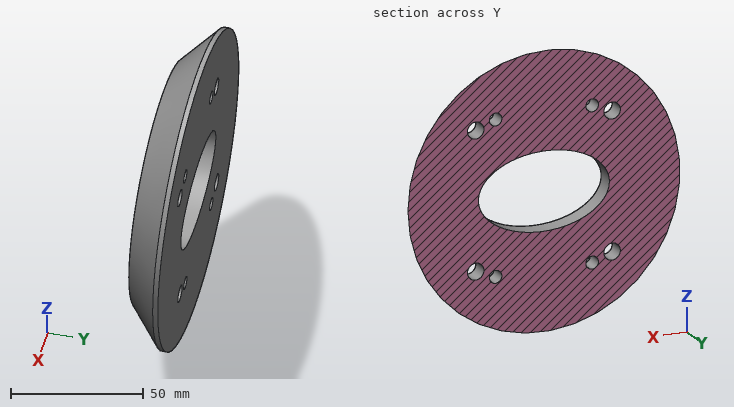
import cadquery as cq

outer_radius = 62.5
face_radius = 48.0
thickness = 15.0
rim_thickness = 2.0

opening_half_width = 27.0
opening_half_height = 16.0

large_hole_diameter = 6.6
large_hole_offset = 28.2
small_hole_diameter = 5.0
small_hole_x = 20.0
small_hole_z = 31.5


def make_disc():
    """Revolve the half section of the rim and its conical flank about the Y axis."""
    section = [
        (0, 0),
        (face_radius, 0),
        (outer_radius, thickness - rim_thickness),
        (outer_radius, thickness),
        (0, thickness),
    ]
    return cq.Workplane("XY").polyline(section).close().revolve(360, (0, 0), (0, 1))


def face_plane():
    """Plane of the small face; its normal points to -Y, its local axes are X and Z."""
    return cq.Workplane("XZ")


def make_holes(x, z, diameter):
    """Four through cylinders at the corners of a rectangle centred on the axis."""
    corners = face_plane().rect(2 * x, 2 * z, forConstruction=True).vertices()
    return corners.circle(diameter / 2).extrude(-thickness)


opening = face_plane().ellipse(opening_half_width, opening_half_height).extrude(-thickness)

result = (
    make_disc()
    .cut(opening)
    .cut(make_holes(large_hole_offset, large_hole_offset, large_hole_diameter))
    .cut(make_holes(small_hole_x, small_hole_z, small_hole_diameter))
)